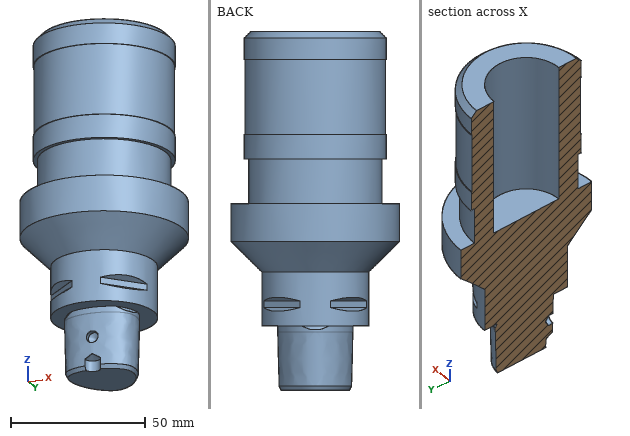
import cadquery as cq
import math

TIP_CHAMFER_TOP = 1.6
TAPER_TOP = 21.8
COLLAR_BOTTOM = 24.1
CONE_BOTTOM = 44.2
FLANGE_BOTTOM = 55.6
FLANGE_TOP = 69.7
NECK_TOP = 86.3
LOWER_BAND_TOP = 95.5
UPPER_BAND_BOTTOM = 123.4
TOTAL_HEIGHT = 134.0

COLLAR_RADIUS = 20.0
FLANGE_RADIUS = 31.5
NECK_RADIUS = 24.9
BAND_RADIUS = 26.5
SLEEVE_RADIUS = 26.3
TOP_CHAMFER = 2.5
BORE_RADIUS = 15.5
BORE_DEPTH = TOTAL_HEIGHT - FLANGE_TOP

SHANK_TOP_RADIUS = 14.1
SHANK_TAPER = 1 / 40
LOBE_HEIGHT = 1.0
TIP_CHAMFER = 0.8
RELIEF_RADIUS = 14.2
RELIEF_HEIGHT = 1.3
RELIEF_SPREAD = 0.7
OUTLINE_POINTS = 48

GROOVE_COUNT = 4
GROOVE_FIRST_ANGLE = 45
GROOVE_CENTER = 32.2
GROOVE_FLOOR_DISTANCE = 17.5
GROOVE_FLOOR_HALF_WIDTH = 1.2
GROOVE_FLANK_ANGLE = 30

DRILL_POINT_ANGLE = 118
CROSS_HOLE_RADIUS = 2.3
CROSS_HOLE_HEIGHT = 12.6
CROSS_HOLE_DEPTH = 3.4
NOTCH_RADIUS = 3.1
NOTCH_HEIGHT = 4.2
NOTCH_CENTER_Y = -12.6


def turned_body():
    """Everything above the shank, as one revolved profile with a blind bore."""
    profile = [
        (0, COLLAR_BOTTOM),
        (COLLAR_RADIUS, COLLAR_BOTTOM),
        (COLLAR_RADIUS, CONE_BOTTOM),
        (FLANGE_RADIUS, FLANGE_BOTTOM),
        (FLANGE_RADIUS, FLANGE_TOP),
        (NECK_RADIUS, FLANGE_TOP),
        (NECK_RADIUS, NECK_TOP),
        (BAND_RADIUS, NECK_TOP),
        (BAND_RADIUS, LOWER_BAND_TOP),
        (SLEEVE_RADIUS, LOWER_BAND_TOP),
        (SLEEVE_RADIUS, UPPER_BAND_BOTTOM),
        (BAND_RADIUS, UPPER_BAND_BOTTOM),
        (BAND_RADIUS, TOTAL_HEIGHT - TOP_CHAMFER),
        (BAND_RADIUS - TOP_CHAMFER, TOTAL_HEIGHT),
        (BORE_RADIUS, TOTAL_HEIGHT),
        (BORE_RADIUS, TOTAL_HEIGHT - BORE_DEPTH),
        (0, TOTAL_HEIGHT - BORE_DEPTH),
    ]
    return cq.Workplane("XZ").polyline(profile).close().revolve(360, (0, 0), (0, 1))


def lobed_wire(mean_radius, height):
    """Constant-width three-lobed outline with one lobe pointing to +Y."""
    points = []
    for i in range(OUTLINE_POINTS):
        t = 2 * math.pi * i / OUTLINE_POINTS
        reach = mean_radius + LOBE_HEIGHT * math.cos(3 * t)
        slope = -3 * LOBE_HEIGHT * math.sin(3 * t)
        along = reach * math.cos(t) - slope * math.sin(t)
        across = reach * math.sin(t) + slope * math.cos(t)
        points.append(cq.Vector(-across, along, height))
    return cq.Wire.assembleEdges([cq.Edge.makeSpline(points, periodic=True)])


def lobed_section(bottom_radius, bottom, top_radius, top):
    wires = [lobed_wire(bottom_radius, bottom), lobed_wire(top_radius, top)]
    return cq.Workplane(obj=cq.Solid.makeLoft(wires, True))


def shank():
    """Chamfered tip, taper and straight root, with the lobe tips relieved at the root."""
    tip_radius = SHANK_TOP_RADIUS - SHANK_TAPER * (TAPER_TOP - TIP_CHAMFER_TOP)
    tip = lobed_section(tip_radius - TIP_CHAMFER, 0, tip_radius, TIP_CHAMFER_TOP)
    taper = lobed_section(tip_radius, TIP_CHAMFER_TOP, SHANK_TOP_RADIUS, TAPER_TOP)
    root = lobed_section(SHANK_TOP_RADIUS, TAPER_TOP, SHANK_TOP_RADIUS, COLLAR_BOTTOM)
    relief_bottom = COLLAR_BOTTOM - RELIEF_HEIGHT
    relief_limit = (
        cq.Workplane("XZ")
        .polyline([
            (0, TAPER_TOP),
            (COLLAR_RADIUS, TAPER_TOP),
            (COLLAR_RADIUS, relief_bottom),
            (RELIEF_RADIUS + RELIEF_SPREAD, relief_bottom),
            (RELIEF_RADIUS, COLLAR_BOTTOM),
            (0, COLLAR_BOTTOM),
        ])
        .close()
        .revolve(360, (0, 0), (0, 1))
    )
    return tip.union(taper).union(root.intersect(relief_limit))


def gripper_groove(angle):
    """Straight flat-floored groove with sloping flanks, facing the given angle."""
    depth = COLLAR_RADIUS - GROOVE_FLOOR_DISTANCE
    mouth_half_width = GROOVE_FLOOR_HALF_WIDTH + depth * math.tan(math.radians(GROOVE_FLANK_ANGLE))
    return (
        cq.Workplane("XZ")
        .polyline([
            (GROOVE_FLOOR_DISTANCE, GROOVE_CENTER - GROOVE_FLOOR_HALF_WIDTH),
            (COLLAR_RADIUS, GROOVE_CENTER - mouth_half_width),
            (COLLAR_RADIUS, GROOVE_CENTER + mouth_half_width),
            (GROOVE_FLOOR_DISTANCE, GROOVE_CENTER + GROOVE_FLOOR_HALF_WIDTH),
        ])
        .close()
        .extrude(COLLAR_RADIUS, both=True)
        .rotate((0, 0, 0), (0, 0, 1), angle)
    )


def drill(radius, length):
    """Pointed drill standing on the origin and cutting upward."""
    point_length = radius / math.tan(math.radians(DRILL_POINT_ANGLE / 2))
    return (
        cq.Workplane("XZ")
        .polyline([(0, 0), (radius, 0), (radius, length), (0, length + point_length)])
        .close()
        .revolve(360, (0, 0), (0, 1))
    )


def cross_hole():
    start_y = -COLLAR_RADIUS
    length = CROSS_HOLE_DEPTH + COLLAR_RADIUS - SHANK_TOP_RADIUS
    return (
        drill(CROSS_HOLE_RADIUS, length)
        .rotate((0, 0, 0), (1, 0, 0), -90)
        .translate((0, start_y, CROSS_HOLE_HEIGHT))
    )


def tip_notch():
    return drill(NOTCH_RADIUS, NOTCH_HEIGHT).translate((0, NOTCH_CENTER_Y, 0))


result = turned_body().union(shank())
for index in range(GROOVE_COUNT):
    result = result.cut(gripper_groove(GROOVE_FIRST_ANGLE + index * 360 / GROOVE_COUNT))
result = result.cut(cross_hole()).cut(tip_notch())